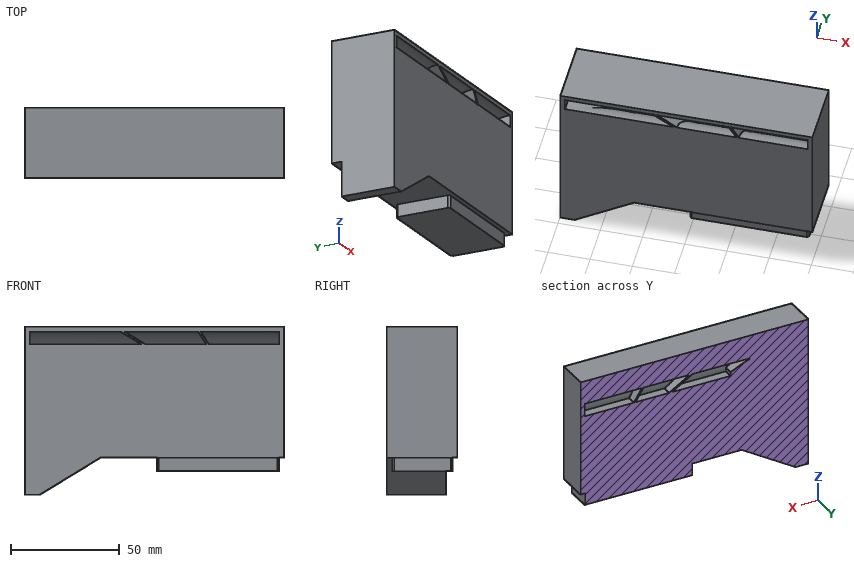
import cadquery as cq
import math

length = 119.5
depth = 32.5
height = 77.5
body_height = 60.3

leg_depth = 27.4
leg_foot_length = 6.8
leg_root_length = 35.0

wall = 2.3
plug_left = 60.8
plug_right = length - wall
plug_front_inset = 2.5
plug_back_inset = 2.2
plug_drop = 6.2
plug_chamfer = 1.0

slot_height = 5.7
lip_depth = 1.1
elbow_inner_radius = 10.8
elbow_outer_radius = elbow_inner_radius + slot_height

vane_thickness = 1.0
vanes = [(45.0, 54.5), (80.4, 84.1)]

ramp_radius = 77.7
ramp_start_x = 5.0
ramp_length = 35.8
ramp_step = 0.02


def make_body():
    size = (length, depth, body_height)
    return cq.Workplane("XY").box(*size, centered=False).translate((0, 0, -body_height))


def make_leg():
    outline = [
        (0, -body_height),
        (0, -height),
        (leg_foot_length, -height),
        (leg_root_length, -body_height),
    ]
    return cq.Workplane("XZ").polyline(outline).close().extrude(-leg_depth)


def make_plug():
    plug = cq.Workplane("XY").box(
        plug_right - plug_left, depth - plug_front_inset - plug_back_inset, plug_drop, centered=False
    )
    plug = plug.edges("|Z").chamfer(plug_chamfer)
    return plug.translate((plug_left, plug_front_inset, -body_height - plug_drop))


def make_duct():
    """Slot passage that runs inwards past the lip, then bends down a quarter turn."""
    top = -wall
    bottom = top - slot_height
    bend_z = bottom - elbow_inner_radius
    diagonal = math.sqrt(0.5)

    def bend_middle(radius):
        return lip_depth + radius * diagonal, bend_z + radius * diagonal

    return (
        cq.Workplane("YZ", origin=(wall, 0, 0))
        .moveTo(0, bottom)
        .lineTo(lip_depth, bottom)
        .threePointArc(bend_middle(elbow_inner_radius), (lip_depth + elbow_inner_radius, bend_z))
        .lineTo(lip_depth + elbow_outer_radius, bend_z)
        .threePointArc(bend_middle(elbow_outer_radius), (lip_depth, top))
        .lineTo(0, top)
        .close()
        .extrude(length - 2 * wall)
    )


def make_vane(top_x, bottom_x):
    """Inclined plate, extended along its slope to the end of the duct."""
    slope = (bottom_x - top_x) / slot_height
    half_width = vane_thickness * math.hypot(1, slope) / 2
    drop = slot_height + elbow_inner_radius
    end_x = top_x + slope * drop
    outline = [
        (top_x - half_width, -wall),
        (top_x + half_width, -wall),
        (end_x + half_width, -wall - drop),
        (end_x - half_width, -wall - drop),
    ]
    return cq.Workplane("XZ").polyline(outline).close().extrude(-(lip_depth + elbow_outer_radius))


def make_ramp():
    """Duct floor at the left end: level at first, then curving down to the right."""
    top_z = -wall - slot_height - ramp_step
    base_z = top_z + ramp_step - elbow_inner_radius

    def ramp_point(run):
        return ramp_start_x + run, top_z - ramp_radius + math.sqrt(ramp_radius**2 - run**2)

    return (
        cq.Workplane("XZ")
        .moveTo(wall, base_z)
        .lineTo(wall, top_z)
        .lineTo(ramp_start_x, top_z)
        .threePointArc(ramp_point(ramp_length / 2), ramp_point(ramp_length))
        .lineTo(ramp_start_x + ramp_length, base_z)
        .close()
        .extrude(-(lip_depth + elbow_outer_radius))
    )


duct = make_duct().cut(make_ramp())
for top_x, bottom_x in vanes:
    duct = duct.cut(make_vane(top_x, bottom_x))

result = make_body().union(make_leg()).union(make_plug()).cut(duct)